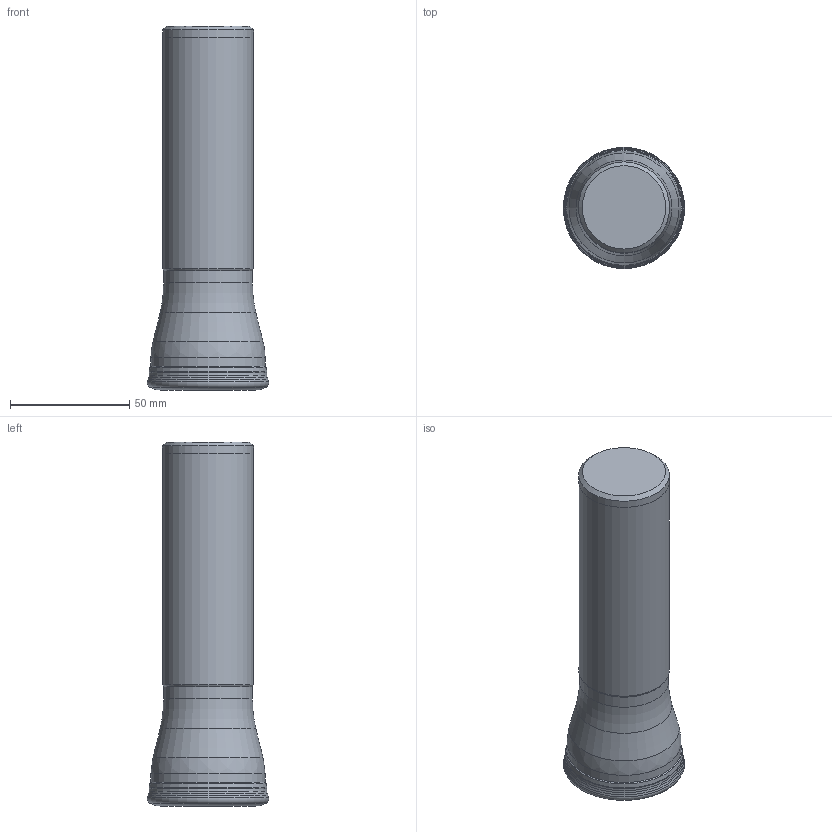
import cadquery as cq
import math

overall_height = 152.4
rim_radius = 25.4

barrel_radius = 19.05
barrel_shoulder_z = 50.8
barrel_bevel_height = 0.8

cap_height = 4.8
cap_chamfer = 1.6

neck_radius = 18.6
neck_bottom_z = 44.8
neck_curve_bottom_z = 32.4
neck_curve_radius = 54.5
skirt_radius = 23.9
skirt_top_z = 13.6
skirt_bottom_z = 9.9
shoulder_curve_top_z = 20.4
shoulder_curve_radius = 26.8

ring_profile = [
    (24.35, 9.5),
    (24.6, 7.6),
    (24.5, 7.2),
    (24.6, 6.2),
    (24.8, 5.3),
    (25.05, 4.4),
]

rim_top_z = 3.5
rim_round_radius = 2.0
rim_center_z = 2.9
face_curve_top_z = 1.15

neck_top_z = barrel_shoulder_z - barrel_bevel_height
cap_bottom_z = overall_height - cap_height


def revolve_profile(profile):
    """Turn a closed (radius, z) outline about the Z axis."""
    return profile.close().revolve(360, (0, 0, 0), (0, 1, 0))


def arc_rise(arc_radius, run):
    """Radial change along an arc that starts parallel to the axis and runs a given axial length."""
    return arc_radius - math.sqrt(arc_radius**2 - run**2)


def add_flare(profile):
    """Neck, concave curve, gentle middle curve, convex shoulder and straight skirt."""
    neck_curve_end = neck_radius + arc_rise(neck_curve_radius, neck_bottom_z - neck_curve_bottom_z)
    shoulder_start = skirt_radius - arc_rise(shoulder_curve_radius, shoulder_curve_top_z - skirt_top_z)
    return (
        profile.lineTo(neck_radius, neck_bottom_z)
        .tangentArcPoint((neck_curve_end, neck_curve_bottom_z), relative=False)
        .tangentArcPoint((shoulder_start, shoulder_curve_top_z), relative=False)
        .tangentArcPoint((skirt_radius, skirt_top_z), relative=False)
        .lineTo(skirt_radius, skirt_bottom_z)
    )


def add_rings(profile):
    for radius, z in ring_profile:
        profile = profile.lineTo(radius, z)
    return profile


def add_rim(profile):
    """Rim round followed by a larger arc, tangent to both the round and the flat front face."""
    rim_top_radius = rim_radius - arc_rise(rim_round_radius, rim_top_z - rim_center_z)
    join_drop = rim_center_z - face_curve_top_z
    join_radius = rim_radius - arc_rise(rim_round_radius, join_drop)
    join_angle = math.asin(join_drop / rim_round_radius)
    face_curve_radius = face_curve_top_z / (1 - math.sin(join_angle))
    face_radius = join_radius - face_curve_radius * math.cos(join_angle)
    return (
        profile.lineTo(rim_top_radius, rim_top_z)
        .threePointArc((rim_radius, rim_center_z), (join_radius, face_curve_top_z))
        .tangentArcPoint((face_radius, 0), relative=False)
    )


def make_housing():
    profile = (
        cq.Workplane("XZ")
        .moveTo(0, cap_bottom_z)
        .lineTo(barrel_radius, cap_bottom_z)
        .lineTo(barrel_radius, barrel_shoulder_z)
        .lineTo(neck_radius, neck_top_z)
    )
    profile = add_flare(profile)
    profile = add_rings(profile)
    profile = add_rim(profile)
    profile = profile.lineTo(0, 0)
    return revolve_profile(profile)


def make_tail_cap():
    cap = cq.Workplane("XY").workplane(offset=cap_bottom_z).circle(barrel_radius).extrude(cap_height)
    return cap.faces(">Z").chamfer(cap_chamfer)


housing = make_housing()
tail_cap = make_tail_cap()

result = cq.Compound.makeCompound([housing.val(), tail_cap.val()])